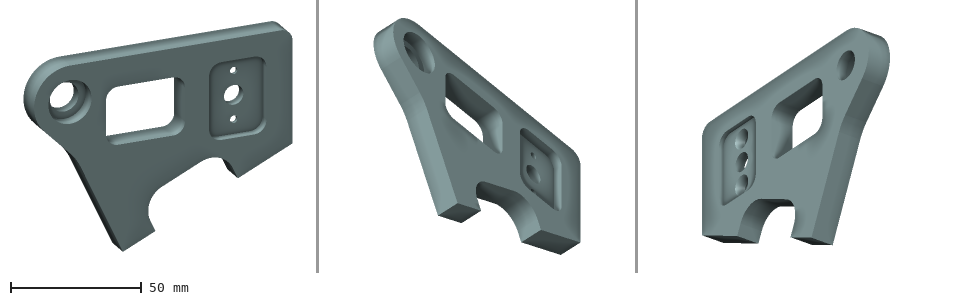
import cadquery as cq
import math

thickness = 10.0
length = 108.0
height = 80.4

nose_radius = 15.0
corner_radius = 5.0
lean = math.radians(25)
flank_angle = math.radians(45)
flank_blend_radius = 20.0

leg_width = 15.0
slot_width = 38.0
slot_depth = 15.0
slot_radius = 10.0

pivot_diameter = 12.0
pivot_recess_diameter = 18.0
pivot_recess_depth = 5.5
window_length = 32.9
window_height = 24.0
window_radius = 5.0
window_y = 31.5
window_z = -9.0

pocket_length = 24.0
pocket_height = 32.1
pocket_radius = 5.1
pocket_depth = 2.0
rear_pocket_depth = 3.8
pocket_y = 70.1
pocket_z = -10.0
bore_diameter = 8.1
screw_pitch = 10.0
screw_diameter = 3.0
countersink_diameter = 8.4
countersink_angle = 90

top_z = nose_radius
bottom_z = top_z - height
back_y = length - nose_radius
back_bottom_z = -32.4


def face_plane(depth=0.0):
    """Sketch plane at a depth below the X = 0 face: local x is +Y, local y is +Z."""
    return cq.Workplane("YZ", origin=(depth, 0, 0))


def rounded_block(size_y, size_z, radius, y, z, depth):
    block = face_plane().center(y, z).rect(size_y, size_z).extrude(depth)
    return block.edges("|X").fillet(radius)


def pivot_hole():
    """Through hole with a wider round recess sunk into the face at X = thickness."""
    hole = face_plane().circle(pivot_diameter / 2).extrude(thickness)
    recess = face_plane(thickness - pivot_recess_depth).circle(pivot_recess_diameter / 2)
    return hole.union(recess.extrude(pivot_recess_depth))


def plate():
    toe_y = back_y - (back_bottom_z - bottom_z) / math.tan(lean)
    toe = (toe_y, bottom_z)

    tangent_y = -nose_radius * math.sin(flank_angle)
    tangent_z = -nose_radius * math.cos(flank_angle)
    leg_slope = math.tan(lean)
    knee_z = (tangent_y + tangent_z - toe_y - leg_slope * bottom_z) / (1 - leg_slope)
    knee_y = tangent_y + tangent_z - knee_z
    knee = (knee_y, knee_z)

    body = (
        face_plane()
        .moveTo(0, top_z)
        .lineTo(back_y, top_z)
        .lineTo(back_y, back_bottom_z)
        .lineTo(*toe)
        .lineTo(*knee)
        .lineTo(tangent_y, tangent_z)
        .threePointArc((-nose_radius, 0), (0, top_z))
        .close()
        .extrude(thickness)
    )
    middle_x = thickness / 2
    knee_point = (middle_x, knee_y, knee_z)
    corner_point = (middle_x, back_y, top_z)
    body = body.edges(cq.selectors.NearestToPointSelector(knee_point)).fillet(flank_blend_radius)
    body = body.edges(cq.selectors.NearestToPointSelector(corner_point)).fillet(corner_radius)

    slot_offset = leg_width + slot_width / 2
    slot_y = toe_y + slot_offset * math.cos(lean)
    slot_z = bottom_z + slot_offset * math.sin(lean)
    slot = rounded_block(slot_width, 2 * slot_depth, slot_radius, 0, 0, thickness)
    slot = slot.rotate((0, 0, 0), (1, 0, 0), math.degrees(lean)).translate((0, slot_y, slot_z))
    return body.cut(slot)


def add_openings(body):
    window = rounded_block(
        window_length, window_height, window_radius, window_y, window_z, thickness
    )
    return body.cut(pivot_hole()).cut(window)


def add_mounting(body):
    pocket = rounded_block(
        pocket_length, pocket_height, pocket_radius, pocket_y, pocket_z, pocket_depth
    )
    bore = face_plane().center(pocket_y, pocket_z).circle(bore_diameter / 2).extrude(thickness)
    rear_pocket = rounded_block(
        pocket_length, pocket_height, pocket_radius, pocket_y, pocket_z, rear_pocket_depth
    )
    rear_pocket = rear_pocket.translate((thickness - rear_pocket_depth, 0, 0))
    body = body.cut(pocket).cut(rear_pocket).cut(bore)

    half_angle = math.radians(countersink_angle / 2)
    cone_depth = (countersink_diameter - screw_diameter) / 2 / math.tan(half_angle)
    for side in (-1, 1):
        screw_z = pocket_z + side * screw_pitch
        screw = face_plane().center(pocket_y, screw_z).circle(screw_diameter / 2).extrude(thickness)
        cone = cq.Solid.makeCone(
            countersink_diameter / 2,
            screw_diameter / 2,
            cone_depth,
            pnt=cq.Vector(pocket_depth, pocket_y, screw_z),
            dir=cq.Vector(1, 0, 0),
        )
        body = body.cut(screw).cut(cone)
    return body


result = add_mounting(add_openings(plate()))